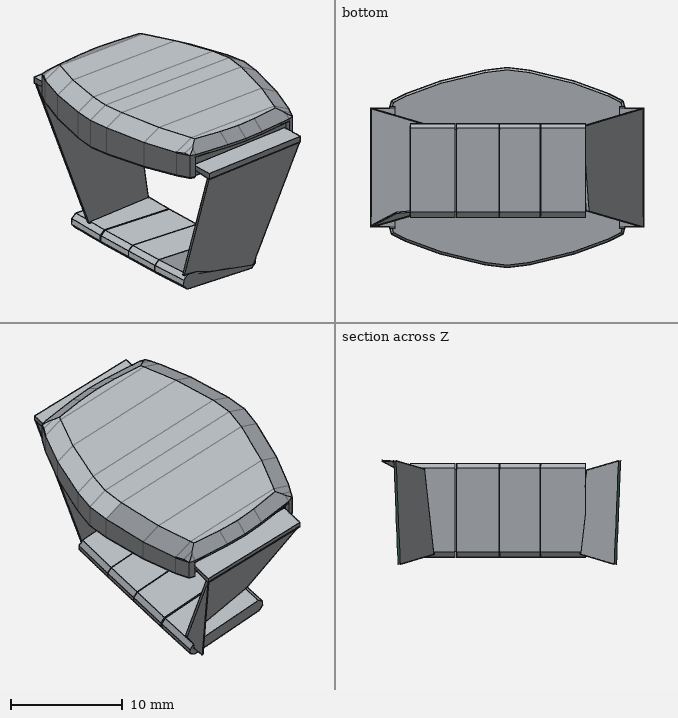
import cadquery as cq


CASE_STATIONS = [
    (0, 8.96, 2.87, 3.82),
    (1.98, 8.72, 2.82, 3.77),
    (6.02, 7.75, 2.62, 3.55),
    (9.15, 6.6, 2.47, 3.38),
    (9.85, 6.35, 2.45, 3.3),
    (10.35, 5.98, 2.42, 3.25),
    (10.97, 5.27, 2.42, 3.23),
]
SIDE_BEVEL_RUN = 1.76
END_STATIONS = [(0, 10.97), (1.98, 10.87), (5.41, 10.53), (5.98, 10.35), (6.6, 9.15), (9.05, 9.15)]
END_BEVEL_RUN = 1.05
END_BEVEL_BASE = 2.42
END_BEVEL_TOP = 3.28
BEVEL_EXTENSION = 2
CASE_BOTTOM_CHAMFER = 0.22

RECESS_WALL_X = 10.05
RECESS_WIDTH = 10.92
RECESS_FLOOR_Z = -0.25
RECESS_WALL_TOP = 1.93
BRIM_INNER_X = 10.53
BRIM_UNDERSIDE = 2.18

LUG_OUTER_X = 12.25
LUG_HALF_WIDTH = 5.31
LUG_TOP_FRONT, LUG_TOP_REAR = 1.15, 1.4
LUG_OUTER_BOTTOM_FRONT, LUG_OUTER_BOTTOM_REAR = 0.55, 0.8
LUG_INNER_RISE = 0.2

SHEET_THICKNESS_X = 0.25
SHEET_TOP_FRONT = (12.2, -5.27, 0.64)
SHEET_TOP_REAR = (12.2, 5.31, 0.88)
SHEET_BOTTOM_FRONT = (6.75, -3.65, -11.88)
SHEET_BOTTOM_REAR = (7.32, 3.9, -13.05)

FIN_THICKNESS = 0.12
FIN_TIP = (-9.92, 4.0, -12.42)

BAR_WIDTH = 8.4
BAR_HEIGHT = 1.45
BAR_CHAMFER = 0.45
BAR_CENTRE_Y = 0.27
BAR_CENTRE_Z = -12.73
BAR_ROLL = -2.8
END_LINK_PITCH = 1.5
BAR_LEFT_X, BAR_RIGHT_X = -8.67, 7.0
JOINT_XS = [-4.6, -0.7, 2.96]
JOINT_GAPS = [0.15, 0.05, 0.05]
NECK_HEIGHT = 0.37
NECK_WIDTH = 7.35
NECK_REACH = 0.25


def ruled_solid(loops):
    """Solid with straight-ruled sides through closed loops of points."""
    wires = [cq.Wire.makePolygon([cq.Vector(*p) for p in loop], close=True) for loop in loops]
    return cq.Workplane(obj=cq.Solid.makeLoft(wires, True))


def both_sides(stations):
    """Stations from the negative side to the positive side, first value mirrored."""
    mirrored = [(-s[0], *s[1:]) for s in reversed(stations[1:])]
    return mirrored + stations


def case_side_section(x, half_width, wall_top, ridge):
    ridge_y = half_width - SIDE_BEVEL_RUN
    half = [(half_width, 0), (half_width, wall_top), (ridge_y, ridge)]
    outline = half + [(-y, z) for y, z in reversed(half)]
    return [(x, y, z) for y, z in outline]


def case_end_section(y, end_x):
    top_x = end_x - BEVEL_EXTENSION * END_BEVEL_RUN
    top_z = END_BEVEL_BASE + BEVEL_EXTENSION * (END_BEVEL_TOP - END_BEVEL_BASE)
    half = [(end_x, 0), (end_x, END_BEVEL_BASE), (top_x, top_z)]
    outline = half + [(-x, z) for x, z in reversed(half)]
    return [(x, y, z) for x, z in outline]


def make_lug_recess():
    profile = [
        (RECESS_WALL_X, RECESS_FLOOR_Z),
        (RECESS_WALL_X, RECESS_WALL_TOP),
        (BRIM_INNER_X, BRIM_UNDERSIDE),
        (LUG_OUTER_X, BRIM_UNDERSIDE),
        (LUG_OUTER_X, RECESS_FLOOR_Z),
    ]
    return cq.Workplane("XZ").polyline(profile).close().extrude(RECESS_WIDTH / 2, both=True)


def make_case():
    sides = ruled_solid([case_side_section(*s) for s in both_sides(CASE_STATIONS)])
    ends = ruled_solid([case_end_section(*s) for s in both_sides(END_STATIONS)])
    case = sides.intersect(ends)
    case = case.faces("<Z").chamfer(CASE_BOTTOM_CHAMFER)
    recess = make_lug_recess()
    return case.cut(recess).cut(recess.mirror("YZ"))


def make_lug():
    """Right-hand lug, from the recess wall to the outer face."""
    def end_loop(x, rise):
        return [
            (x, -LUG_HALF_WIDTH, LUG_OUTER_BOTTOM_FRONT + rise),
            (x, LUG_HALF_WIDTH, LUG_OUTER_BOTTOM_REAR + rise),
            (x, LUG_HALF_WIDTH, LUG_TOP_REAR),
            (x, -LUG_HALF_WIDTH, LUG_TOP_FRONT),
        ]

    return ruled_solid([end_loop(RECESS_WALL_X, LUG_INNER_RISE), end_loop(LUG_OUTER_X, 0)])


def make_sheet():
    """Right-hand strap sheet, slightly twisted from the lug down into the link bar."""
    def level_loop(front, rear):
        inner = [(x - SHEET_THICKNESS_X, y, z) for x, y, z in (rear, front)]
        return [front, rear] + inner

    top = level_loop(SHEET_TOP_FRONT, SHEET_TOP_REAR)
    bottom = level_loop(SHEET_BOTTOM_FRONT, SHEET_BOTTOM_REAR)
    return ruled_solid([top, bottom])


def make_fin():
    """Triangular fin that stands outwards from the rear edge of the left strap."""
    corners = [(-x, y - FIN_THICKNESS, z) for x, y, z in (SHEET_TOP_REAR, SHEET_BOTTOM_REAR)]
    front = corners + [FIN_TIP]
    rear = [(x, y + FIN_THICKNESS, z) for x, y, z in front]
    return ruled_solid([front, rear])


def make_right_strap():
    return make_lug().union(make_sheet())


def make_left_strap():
    return make_right_strap().mirror("YZ").union(make_fin())


def make_link(left_x, right_x):
    length = right_x - left_x
    link = cq.Workplane("XY").box(length, BAR_WIDTH, BAR_HEIGHT).edges("|X").chamfer(BAR_CHAMFER)
    return link.translate((left_x + length / 2, 0, 0))


def make_link_bar(straps):
    """Row of four links joined by narrow necks, slotted for the strap ends."""
    starts = [BAR_LEFT_X] + [x + gap / 2 for x, gap in zip(JOINT_XS, JOINT_GAPS)]
    ends = [x - gap / 2 for x, gap in zip(JOINT_XS, JOINT_GAPS)] + [BAR_RIGHT_X]
    pitches = [END_LINK_PITCH, 0, 0, -END_LINK_PITCH]
    pivots = [ends[0], 0, 0, starts[-1]]

    bar = cq.Workplane("XY")
    for start, end, pitch, pivot in zip(starts, ends, pitches, pivots):
        bar = bar.union(make_link(start, end).rotate((pivot, 0, 0), (pivot, 1, 0), pitch))
    for x, gap in zip(JOINT_XS, JOINT_GAPS):
        neck = cq.Workplane("XY").box(gap + 2 * NECK_REACH, NECK_WIDTH, NECK_HEIGHT)
        bar = bar.union(neck.translate((x, 0, 0)))

    bar = bar.rotate((0, 0, 0), (1, 0, 0), BAR_ROLL).translate((0, BAR_CENTRE_Y, BAR_CENTRE_Z))
    for strap in straps:
        bar = bar.cut(strap)
    return bar


case = make_case()
left_strap = make_left_strap()
right_strap = make_right_strap()
link_bar = make_link_bar([left_strap, right_strap])

bodies = [case, left_strap, right_strap, link_bar]
result = cq.Compound.makeCompound([body.solids().val() for body in bodies])